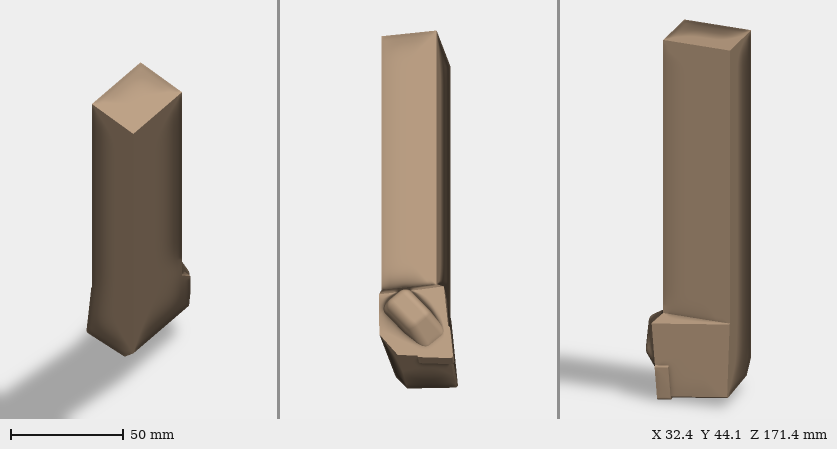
import cadquery as cq
import math

SHANK_WIDTH = 25.0
SHANK_DEPTH = 32.0
TOP_Z = 171.4

SHOULDER_Z = 39.2
HEAD_DEPTH = 37.7
TILT = 6.0
NOSE_CORNER = (-7.5, 31.9, -0.12)
FLANK_SETBACK = 0.74
CORNER_BEVEL = 0.9
HEEL_HIGH = (SHANK_WIDTH, 13.2)
HEEL_LOW = (19.5, 6.0)
REACH = 102.8

INSERT_EDGE = 16.1
INSERT_THICKNESS = 6.3
INSERT_CORNER_RADIUS = 1.2
EDGE_LEAD = 5.0

CLAMP_BACK = (26.4, 31.4)
CLAMP_ANGLE = 50.0
CLAMP_LENGTH = 28.8
CLAMP_STRAIGHT = 16.8
CLAMP_HALF_WIDTH = 7.9
CLAMP_TIP_HALF_WIDTH = 6.3
CLAMP_HEIGHT = 6.9
CLAMP_DRAFT = 18.0
CLAMP_TIP_SLOPE = 35.0
CLAMP_ROUND = 4.0


def polar(angle, distance):
    """(x, z) step of a given length at an angle in degrees."""
    return distance * math.cos(math.radians(angle)), distance * math.sin(math.radians(angle))


def shifted(point, step):
    return point[0] + step[0], point[1] + step[1]


def placed(shape):
    """Move a shape from the head frame, with the cutting corner at its origin, to its place."""
    about_x = shape.rotate((0, 0, 0), (1, 0, 0), -TILT)
    return about_x.rotate((0, 0, 0), (0, 0, 1), TILT).translate(NOSE_CORNER)


def plate(points, depth):
    """Prism over (x, z) points of the head frame, reaching from the y = 0 face toward -Y."""
    return cq.Workplane("XZ").polyline(points).close().extrude(depth)


def make_insert():
    bottom_end = polar(EDGE_LEAD, INSERT_EDGE)
    side_end = polar(90 - EDGE_LEAD, INSERT_EDGE)
    rhombus = [(0, 0), bottom_end, shifted(bottom_end, side_end), side_end]
    body = plate(rhombus, INSERT_THICKNESS).edges("|Y").fillet(INSERT_CORNER_RADIUS)
    return placed(body)


def make_tilted_block():
    """Endless block between the two flanks and the tilted face."""
    lead = math.radians(EDGE_LEAD)
    inset = FLANK_SETBACK / (math.cos(lead) - math.sin(lead))
    corner = (inset, inset)
    bottom, side = EDGE_LEAD, 90 - EDGE_LEAD
    return placed(plate([
        shifted(corner, polar(side, CORNER_BEVEL)),
        shifted(corner, polar(bottom, CORNER_BEVEL)),
        shifted(corner, polar(bottom, REACH)),
        (REACH, REACH),
        shifted(corner, polar(side, REACH)),
    ], REACH))


def make_side_envelope():
    """Room for the head in X: under the -X shoulder and up to the +X side of the shank."""
    outline = [
        (SHANK_WIDTH, SHOULDER_Z),
        (0, SHOULDER_Z),
        (-SHOULDER_Z, 0),
        (SHANK_WIDTH, 0),
    ]
    return cq.Workplane("XZ").polyline(outline).close().extrude(-HEAD_DEPTH)


def make_back_envelope():
    """Room for the head in Y: under the +Y shoulder and up to the full head depth."""
    shoulder_drop = HEAD_DEPTH - SHANK_DEPTH
    outline = [
        (0, 0),
        (0, SHOULDER_Z),
        (SHANK_DEPTH, SHOULDER_Z),
        (HEAD_DEPTH, SHOULDER_Z - shoulder_drop),
        (HEAD_DEPTH, 0),
    ]
    return cq.Workplane("YZ").polyline(outline).close().extrude(REACH, both=True)


def make_heel_cut():
    run = HEEL_HIGH[0] - HEEL_LOW[0]
    rise = HEEL_HIGH[1] - HEEL_LOW[1]
    low_end = (HEEL_HIGH[0] - run * REACH / rise, HEEL_HIGH[1] - REACH)
    outline = [HEEL_HIGH, low_end, (SHANK_WIDTH, low_end[1])]
    return cq.Workplane("XZ").polyline(outline).close().extrude(-HEAD_DEPTH)


def make_clamp():
    """Drafted finger, built along +X of its own frame, then laid on the tilted face."""
    outline = [
        (0, -CLAMP_HALF_WIDTH),
        (CLAMP_STRAIGHT, -CLAMP_HALF_WIDTH),
        (CLAMP_LENGTH, -CLAMP_TIP_HALF_WIDTH),
        (CLAMP_LENGTH, CLAMP_TIP_HALF_WIDTH),
        (CLAMP_STRAIGHT, CLAMP_HALF_WIDTH),
        (0, CLAMP_HALF_WIDTH),
    ]
    body = cq.Workplane("XY").polyline(outline).close().extrude(CLAMP_HEIGHT, taper=CLAMP_DRAFT)

    slope_run = CLAMP_HEIGHT / math.tan(math.radians(CLAMP_TIP_SLOPE))
    slope_top = CLAMP_LENGTH - slope_run
    tip_waste = [(CLAMP_LENGTH, 0), (slope_top, CLAMP_HEIGHT), (CLAMP_LENGTH, CLAMP_HEIGHT)]
    body = body.cut(cq.Workplane("XZ").polyline(tip_waste).close().extrude(REACH, both=True))

    back_corners = body.faces("<X").edges("not |Y")
    tip_corners = body.faces(">X").edges("not |Y")
    rim = body.faces(">Z").edges()
    body = rim.add(back_corners).add(tip_corners).fillet(CLAMP_ROUND)

    along_x, along_z = polar(CLAMP_ANGLE, 1)
    seat = cq.Plane(
        origin=(CLAMP_BACK[0], 0, CLAMP_BACK[1]),
        xDir=(-along_x, 0, -along_z),
        normal=(0, 1, 0),
    )
    return placed(cq.Workplane(body.val().moved(seat.location)))


insert = make_insert()

shank_height = TOP_Z - SHOULDER_Z
shank = cq.Workplane("XY").box(SHANK_WIDTH, SHANK_DEPTH, shank_height, centered=False)
shank = shank.translate((0, 0, SHOULDER_Z))
head = make_tilted_block().intersect(make_side_envelope()).intersect(make_back_envelope())
holder = shank.union(head).cut(make_heel_cut()).union(make_clamp()).cut(insert)

result = cq.Compound.makeCompound([holder.val(), insert.val()])